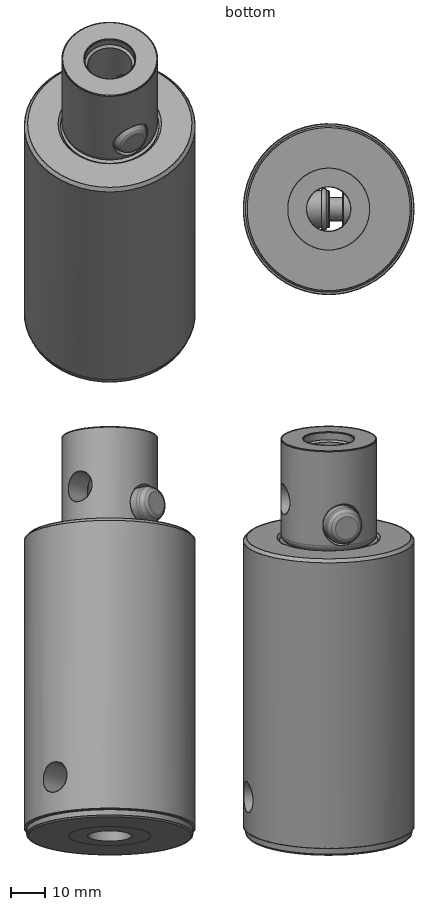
import cadquery as cq

total_height = 120.0
sleeve_diameter = 50.0
sleeve_top = 90.0

sleeve_top_chamfer = 1.0
lip_diameter = 48.7
lip_height = 2.4
lip_chamfer = 0.5
relief_height = 0.2
relief_depth = 0.4
sleeve_port_diameter = 9.1
sleeve_port_height = 13.2

head_diameter = 28.1
head_foot_fillet = 2.0
head_foot_depth = 0.8
head_top_chamfer = 0.2
spigot_diameter = head_diameter - 2 * head_foot_fillet
head_foot = sleeve_top - head_foot_depth
stem_port_diameter = 9.1
stem_port_height = total_height - 17.3

recess_diameter = 28.8
recess_chamfer = 0.7

bore_diameter = 13.0
counterbore_diameter = 14.8
counterbore_depth = 2.4
counterbore_cone_depth = 0.5
counterbore_rim_chamfer = 0.2

pin_height = total_height - 22.5
pin_diameter = 10.9
pin_left_end = -18.0
pin_right_end = 15.1
taper_length = 2.5
taper_drop = 1.3
taper_fillet = 1.8
end_fillet = 1.2
neck_diameter = 6.8
neck_start = 0.2
neck_end = 4.1
neck_shoulder_chamfer = 0.2

flare_diameter = 12.6
flare_length = 1.9

ring_section = 1.5
ring_outer_diameter = 12.2
ring_center = -1.3


def cylinder_z(diameter, bottom, top):
    return cq.Workplane("XY").workplane(offset=bottom).circle(diameter / 2).extrude(top - bottom)


def side_port(diameter, height):
    """Round cutter running from the axis out through the +Y side."""
    return cq.Workplane("XZ").center(0, height).circle(diameter / 2).extrude(-sleeve_diameter)


def make_sleeve():
    outer_r = sleeve_diameter / 2
    lip_r = lip_diameter / 2
    relief_r = lip_r - relief_depth
    recess_r = recess_diameter / 2
    bore_r = spigot_diameter / 2
    lip_top = lip_height - relief_height
    body = (
        cq.Workplane("XZ")
        .moveTo(bore_r, 0)
        .lineTo(lip_r - lip_chamfer, 0)
        .lineTo(lip_r, lip_chamfer)
        .lineTo(lip_r, lip_top)
        .lineTo(relief_r, lip_top)
        .lineTo(relief_r, lip_height)
        .lineTo(outer_r, lip_height)
        .lineTo(outer_r, sleeve_top - sleeve_top_chamfer)
        .lineTo(outer_r - sleeve_top_chamfer, sleeve_top)
        .lineTo(recess_r + recess_chamfer, sleeve_top)
        .lineTo(recess_r, sleeve_top - recess_chamfer)
        .lineTo(recess_r, head_foot)
        .lineTo(bore_r, head_foot)
        .close()
        .revolve(360, (0, 0, 0), (0, 1, 0))
    )
    return body.cut(side_port(sleeve_port_diameter, sleeve_port_height))


def stem_bore():
    """Axial bore, conical floor, counterbore and its rim chamfer as one cutter."""
    bore_r = bore_diameter / 2
    counterbore_r = counterbore_diameter / 2
    floor = total_height - counterbore_depth
    return (
        cq.Workplane("XZ")
        .lineTo(bore_r, 0)
        .lineTo(bore_r, floor - counterbore_cone_depth)
        .lineTo(counterbore_r, floor)
        .lineTo(counterbore_r, total_height - counterbore_rim_chamfer)
        .lineTo(counterbore_r + counterbore_rim_chamfer, total_height)
        .lineTo(0, total_height)
        .close()
        .revolve(360, (0, 0, 0), (0, 1, 0))
    )


def pin_hole():
    """Cross hole along X that flares out to both sides of the stem head."""
    hole_r = pin_diameter / 2
    flare_r = flare_diameter / 2
    head_r = head_diameter / 2
    flare_start = head_r - flare_length
    return (
        cq.Workplane("XZ").center(0, pin_height)
        .moveTo(-head_r, 0)
        .lineTo(-head_r, flare_r)
        .lineTo(-flare_start, hole_r)
        .lineTo(flare_start, hole_r)
        .lineTo(head_r, flare_r)
        .lineTo(head_r, 0)
        .close()
        .revolve(360, (0, 0, 0), (1, 0, 0))
    )


def make_stem():
    head = cylinder_z(head_diameter, head_foot, total_height)
    head = head.faces(">Z").chamfer(head_top_chamfer)
    spigot_r = spigot_diameter / 2
    foot_cut = (
        cq.Workplane("XZ")
        .moveTo(spigot_r, head_foot)
        .lineTo(head_diameter / 2, head_foot)
        .lineTo(head_diameter / 2, head_foot + head_foot_fillet)
        .radiusArc((spigot_r, head_foot), head_foot_fillet)
        .close()
        .revolve(360, (0, 0, 0), (0, 1, 0))
    )
    body = head.cut(foot_cut).union(cylinder_z(spigot_diameter, 0, head_foot))
    body = body.cut(stem_bore())
    body = body.cut(side_port(stem_port_diameter, stem_port_height))
    return body.cut(pin_hole())


def make_o_ring():
    center_radius = (ring_outer_diameter - ring_section) / 2
    return (
        cq.Workplane("XZ").center(ring_center, pin_height + center_radius)
        .circle(ring_section / 2)
        .revolve(360, (0, -center_radius, 0), (1, -center_radius, 0))
    )


def make_pin(o_ring):
    pin_r = pin_diameter / 2
    neck_r = neck_diameter / 2
    end_r = pin_r - taper_drop
    body = (
        cq.Workplane("XZ").center(0, pin_height)
        .moveTo(pin_left_end, 0)
        .lineTo(pin_left_end, end_r)
        .lineTo(pin_left_end + taper_length, pin_r)
        .lineTo(neck_start - neck_shoulder_chamfer, pin_r)
        .lineTo(neck_start, pin_r - neck_shoulder_chamfer)
        .lineTo(neck_start, neck_r)
        .lineTo(neck_end, neck_r)
        .lineTo(neck_end, pin_r - neck_shoulder_chamfer)
        .lineTo(neck_end + neck_shoulder_chamfer, pin_r)
        .lineTo(pin_right_end - taper_length, pin_r)
        .lineTo(pin_right_end, end_r)
        .lineTo(pin_right_end, 0)
        .close()
        .revolve(360, (0, 0, 0), (1, 0, 0))
    )
    for end_face, taper_edge_x in (
        ("<X", pin_left_end + taper_length),
        (">X", pin_right_end - taper_length),
    ):
        taper_edge = cq.selectors.NearestToPointSelector((taper_edge_x, 0, pin_height))
        body = body.edges("%CIRCLE").edges(taper_edge).fillet(taper_fillet)
        body = body.faces(end_face).edges().fillet(end_fillet)
    return body.cut(o_ring)


sleeve = make_sleeve()
stem = make_stem()
o_ring = make_o_ring()
pin = make_pin(o_ring)

result = cq.Compound.makeCompound([
    body.solids().val() for body in (sleeve, stem, pin, o_ring)
])